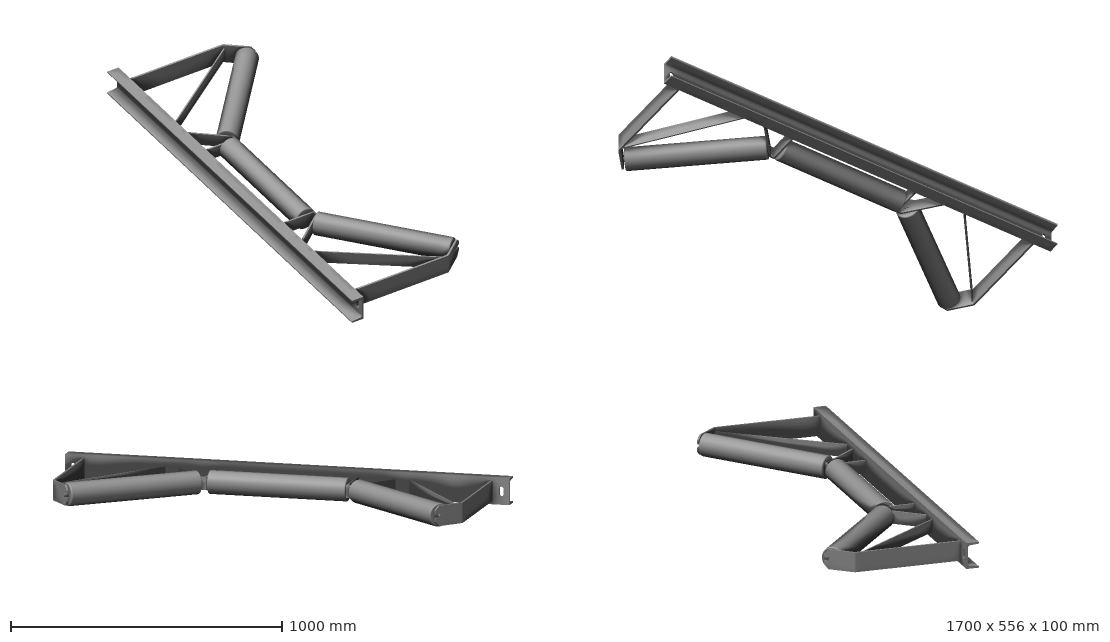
import cadquery as cq
import math

CHANNEL_LENGTH = 1700.0
CHANNEL_HEIGHT = 100.0
FLANGE_REACH = 50.0
WEB_THICKNESS = 6.0
FLANGE_TIP_THICKNESS = 7.0
FLANGE_ROOT_THICKNESS = 10.5
ROOT_RADIUS = 8.0
TIP_RADIUS = 4.5

MOUNT_SLOT_WIDTH = 15.0
MOUNT_SLOT_LENGTH = 35.0
MOUNT_SLOT_FROM_END = 30.0

ROLLER_DIAMETER = 88.0
ROLLER_LENGTH = 530.0
ROLLER_END_RADIUS = 5.0
TROUGH_ANGLE = 40.0
MIDDLE_ROLLER_Y = 165.0
WING_ROLLER_X = 510.0
WING_ROLLER_Y = 354.0

SHAFT_DIAMETER = 20.0
SHAFT_FLATS = 14.0
SHAFT_PROTRUSION = 2.0

OUTER_WIDTH = 76.0
OUTER_THICKNESS = 7.6
OUTER_GAP = 7.0
POST_X = 780.0
OUTER_BEND_RADIUS = 7.0
OUTER_TIP_REACH = 29.0
TIP_CHAMFER = 17.0

INNER_WIDTH = 50.0
INNER_THICKNESS = 7.0
INNER_GAP = 2.0
INNER_TOP_Y = 197.0
BRACE_THICKNESS = 5.0
BRACE_FOOT_X = 468.0

slope = math.radians(TROUGH_ANGLE)
half_roller = ROLLER_LENGTH / 2
inner_offset = half_roller + INNER_GAP + INNER_THICKNESS / 2
outer_offset = half_roller + OUTER_GAP + OUTER_THICKNESS / 2
middle_end = half_roller + INNER_GAP + INNER_THICKNESS
wing_inner_end = middle_end + SHAFT_PROTRUSION
wing_outer_end = half_roller + OUTER_GAP + OUTER_THICKNESS + SHAFT_PROTRUSION



def on_right_wing(body):
    return body.rotate((0, 0, 0), (0, 0, 1), TROUGH_ANGLE).translate((WING_ROLLER_X, WING_ROLLER_Y, 0))


def on_left_wing(body):
    return on_right_wing(body).mirror("YZ")


def in_middle(body):
    return body.translate((0, MIDDLE_ROLLER_Y, 0))



def wing_point(along, across):
    """Point at a distance outward along the roller axis and a distance up across it."""
    return (
        WING_ROLLER_X + along * math.cos(slope) - across * math.sin(slope),
        WING_ROLLER_Y + along * math.sin(slope) + across * math.cos(slope),
    )


def wing_point_at_x(along, x):
    """Point at a distance along the roller axis, on the line square to it, with the given X."""
    across = (WING_ROLLER_X + along * math.cos(slope) - x) / math.sin(slope)
    return wing_point(along, across)


def wing_point_at_y(along, y):
    """Point at a distance along the roller axis, on the line square to it, with the given Y."""
    across = (y - WING_ROLLER_Y - along * math.sin(slope)) / math.cos(slope)
    return wing_point(along, across)



def offset_path(path, distance):
    """The path moved to its left by a distance, with mitred corners."""
    headings = [math.atan2(q[1] - p[1], q[0] - p[0]) for p, q in zip(path, path[1:])]
    arriving = headings[:1] + headings
    leaving = headings + headings[-1:]
    moved = []
    for (x, y), heading_in, heading_out in zip(path, arriving, leaving):
        half_turn = math.remainder(heading_out - heading_in, 2 * math.pi) / 2
        heading = heading_in + half_turn
        reach = distance / math.cos(half_turn)
        moved.append((x - reach * math.sin(heading), y + reach * math.cos(heading)))
    return moved


def bent_bar(path, thickness, width):
    """Flat bar along a path in the XY plane, with its width centred on Z = 0."""
    outline = offset_path(path, thickness / 2) + offset_path(path, -thickness / 2)[::-1]
    return cq.Workplane("XY").polyline(outline).close().extrude(width / 2, both=True)



def edges_near(y, z, reach):
    """Selector of the lengthwise channel edges within reach of a point of its section."""
    return cq.selectors.BoxSelector((-reach, y - reach, z - reach), (reach, y + reach, z + reach))


def channel():
    half = CHANNEL_HEIGHT / 2
    web_face = FLANGE_REACH - WEB_THICKNESS
    tip = half - FLANGE_TIP_THICKNESS
    root = half - FLANGE_ROOT_THICKNESS
    section = [
        (0, -half), (FLANGE_REACH, -half), (FLANGE_REACH, half), (0, half),
        (0, tip), (web_face, root), (web_face, -root), (0, -tip),
    ]
    body = cq.Workplane("YZ").polyline(section).close().extrude(CHANNEL_LENGTH / 2, both=True)
    selection_reach = FLANGE_TIP_THICKNESS / 4
    for side in (-1, 1):
        body = body.edges(edges_near(web_face, side * root, selection_reach)).fillet(ROOT_RADIUS)
        body = body.edges(edges_near(0, side * tip, selection_reach)).fillet(TIP_RADIUS)
    slot_x = CHANNEL_LENGTH / 2 - MOUNT_SLOT_FROM_END
    slots = (
        cq.Workplane("XZ")
        .pushPoints([(-slot_x, 0), (slot_x, 0)])
        .slot2D(MOUNT_SLOT_LENGTH, MOUNT_SLOT_WIDTH, 90)
        .extrude(-FLANGE_REACH)
    )
    return body.cut(slots)


def outer_bracket():
    bend = wing_point_at_x(outer_offset, POST_X)
    tip = wing_point(outer_offset, OUTER_TIP_REACH)
    bar = bent_bar([(POST_X, FLANGE_REACH), bend, tip], OUTER_THICKNESS, OUTER_WIDTH)

    for side, radius in ((1, OUTER_BEND_RADIUS), (-1, OUTER_BEND_RADIUS + OUTER_THICKNESS)):
        corner = (POST_X - side * OUTER_THICKNESS / 2, bend[1], 0)
        bar = bar.edges("|Z").edges(cq.selectors.NearestToPointSelector(corner)).fillet(radius)

    tip_face = bar.faces(cq.selectors.NearestToPointSelector((*tip, 0)))
    bar = tip_face.edges("not |Z").edges(
        cq.selectors.ParallelDirSelector(cq.Vector(math.cos(slope), math.sin(slope), 0))
    ).chamfer(TIP_CHAMFER)

    slot = cq.Workplane("XY").box(
        2 * OUTER_THICKNESS, 2 * OUTER_TIP_REACH, SHAFT_FLATS, centered=(True, False, True)
    )
    return bar.cut(on_right_wing(slot.translate((outer_offset, 0, 0))))


def brace():
    top = wing_point_at_x(outer_offset, POST_X - OUTER_THICKNESS / 2)
    return bent_bar([(BRACE_FOOT_X, FLANGE_REACH), top], BRACE_THICKNESS, INNER_WIDTH)


def inner_bracket():
    path = [
        wing_point_at_y(-inner_offset, FLANGE_REACH),
        wing_point_at_y(-inner_offset, INNER_TOP_Y),
        (inner_offset, INNER_TOP_Y),
        (inner_offset, FLANGE_REACH),
    ]
    return bent_bar(path, INNER_THICKNESS, INNER_WIDTH)


def frame(shafts):
    right_side = outer_bracket().union(brace()).union(inner_bracket())
    body = channel().union(right_side).union(right_side.mirror("YZ"))
    for shaft_body in shafts:
        body = body.cut(shaft_body)
    return body



def rod(diameter, start, end):
    """Cylinder on the X axis between two places."""
    return cq.Workplane("YZ", origin=(start, 0, 0)).circle(diameter / 2).extrude(end - start)


def roller():
    body = rod(ROLLER_DIAMETER, -half_roller, half_roller)
    body = body.faces("<X or >X").edges().fillet(ROLLER_END_RADIUS)
    return body.cut(rod(SHAFT_DIAMETER, -half_roller, half_roller))


def shaft(inner_end, outer_end):
    """Shaft reaching from -inner_end to outer_end, flattened toward +Z and -Z outside the roller."""
    flattened = rod(SHAFT_DIAMETER, -inner_end, outer_end).intersect(
        cq.Workplane("XY").box(2 * (inner_end + outer_end), SHAFT_DIAMETER, SHAFT_FLATS)
    )
    return flattened.union(rod(SHAFT_DIAMETER, -half_roller, half_roller))


rollers = [place(roller()) for place in (on_left_wing, in_middle, on_right_wing)]
wing_shaft = shaft(wing_inner_end, wing_outer_end)
middle_shaft = shaft(middle_end, middle_end)
shafts = [on_left_wing(wing_shaft), in_middle(middle_shaft), on_right_wing(wing_shaft)]
trough_frame = frame(shafts)

result = cq.Compound.makeCompound([
    trough_frame.val(),
    *[body.val() for body in rollers],
    *[body.val() for body in shafts],
])